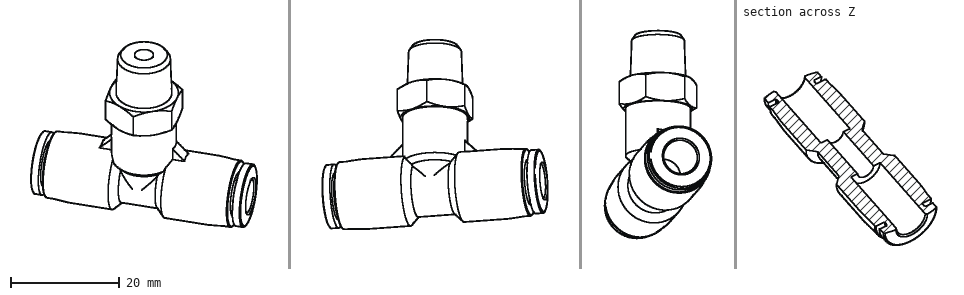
import cadquery as cq
import math


run_length = 41.0
total_height = 34.3

body_diameter = 13.0
body_end_diameter = 12.5
waist_diameter = 9.92
waist_half_length = 3.53
body_end = 17.75
body_end_chamfer = 0.15
end_band_start = 16.3
taper_start = 13.32
taper_mid_bulge = 0.05

collar_diameter = 11.8
collar_back = 18.6
collar_front = 19.95
collar_chamfer_length = 0.15
collar_chamfer_depth = 0.3
collar_dome_bulge = 0.05
neck_diameter = 8.35
neck_root_diameter = 8.6
neck_cone_end = 18.25

tube_bore_diameter = 6.35
tube_bore_mouth_diameter = 6.95
tube_bore_depth = 15.4
flow_bore_diameter = 3.5

stem_diameter = 12.0
stem_foot_height = 5.0

hex_sides = 6
hex_across_flats = 12.7
hex_bottom = 14.02
hex_top = 19.35
hex_chamfer_angle = 30.0

thread_root_diameter = 10.35
thread_end_diameter = 9.8
thread_tip_diameter = 8.6
thread_chamfer_height = 0.9
top_height = total_height - body_diameter / 2

rib_width = 2.65
rib_reach = 8.2
rib_top = 8.7

HALF_RUN = run_length / 2
BODY_R = body_diameter / 2
WAIST_R = waist_diameter / 2


def run_half():
    """Right half of the run, revolved about X."""
    end_r = body_end_diameter / 2
    collar_r = collar_diameter / 2
    mouth_r = tube_bore_mouth_diameter / 2
    dome_x = collar_front + collar_chamfer_length
    dome_r = collar_r - collar_chamfer_depth
    taper_mid = ((taper_start + end_band_start) / 2, (BODY_R + end_r) / 2 + taper_mid_bulge)
    dome_mid = ((dome_x + HALF_RUN) / 2 + collar_dome_bulge, (dome_r + mouth_r) / 2)
    profile = (
        cq.Workplane("XY")
        .lineTo(0, WAIST_R)
        .lineTo(waist_half_length, WAIST_R)
        .lineTo(waist_half_length + BODY_R - WAIST_R, BODY_R)
        .lineTo(taper_start, BODY_R)
        .threePointArc(taper_mid, (end_band_start, end_r))
        .lineTo(body_end - body_end_chamfer, end_r)
        .lineTo(body_end, end_r - body_end_chamfer)
        .lineTo(body_end, neck_diameter / 2)
        .lineTo(neck_cone_end, neck_diameter / 2)
        .lineTo(collar_back, neck_root_diameter / 2)
        .lineTo(collar_back, collar_r)
        .lineTo(collar_front, collar_r)
        .lineTo(dome_x, dome_r)
        .threePointArc(dome_mid, (HALF_RUN, mouth_r))
        .lineTo(HALF_RUN, 0)
        .close()
    )
    return profile.revolve(360, (0, 0, 0), (1, 0, 0))


def stem():
    """Branch stem with a 45 degree shoulder down to the waist diameter."""
    stem_r = stem_diameter / 2
    profile = (
        cq.Workplane("XZ")
        .lineTo(WAIST_R, 0)
        .lineTo(WAIST_R, stem_foot_height - (stem_r - WAIST_R))
        .lineTo(stem_r, stem_foot_height)
        .lineTo(stem_r, hex_bottom)
        .lineTo(0, hex_bottom)
        .close()
    )
    return profile.revolve(360, (0, 0, 0), (0, 1, 0))


def hexagon():
    """Hexagon with flats facing +X and -X, corners chamfered at both ends."""
    flat_r = hex_across_flats / 2
    corner_r = flat_r / math.cos(math.pi / hex_sides)
    drop = (corner_r - flat_r) * math.tan(math.radians(hex_chamfer_angle))
    prism = (
        cq.Workplane("XY", origin=(0, 0, hex_bottom))
        .polygon(hex_sides, 2 * corner_r)
        .extrude(hex_top - hex_bottom)
        .rotate((0, 0, 0), (0, 0, 1), 180 / hex_sides)
    )
    envelope = (
        cq.Workplane("XZ")
        .moveTo(0, hex_bottom)
        .lineTo(flat_r, hex_bottom)
        .lineTo(corner_r, hex_bottom + drop)
        .lineTo(corner_r, hex_top - drop)
        .lineTo(flat_r, hex_top)
        .lineTo(0, hex_top)
        .close()
        .revolve(360, (0, 0, 0), (0, 1, 0))
    )
    return prism.intersect(envelope)


def thread():
    """Tapered thread blank with a chamfered tip."""
    profile = (
        cq.Workplane("XZ")
        .moveTo(0, hex_top)
        .lineTo(thread_root_diameter / 2, hex_top)
        .lineTo(thread_end_diameter / 2, top_height - thread_chamfer_height)
        .lineTo(thread_tip_diameter / 2, top_height)
        .lineTo(0, top_height)
        .close()
    )
    return profile.revolve(360, (0, 0, 0), (0, 1, 0))


def ribs():
    """Pair of 45 degree gussets, one on each side of the stem."""
    slope_sum = rib_reach + math.sqrt(BODY_R**2 - (rib_width / 2) ** 2)
    rib_inner = slope_sum - rib_top
    return (
        cq.Workplane("XZ")
        .moveTo(-rib_inner, rib_top)
        .lineTo(rib_inner, rib_top)
        .lineTo(slope_sum - WAIST_R, WAIST_R)
        .lineTo(WAIST_R - slope_sum, WAIST_R)
        .close()
        .extrude(rib_width / 2, both=True)
    )


def tube_bore():
    """Tube socket at the right end, with a chamfered mouth."""
    bore_r = tube_bore_diameter / 2
    mouth_r = tube_bore_mouth_diameter / 2
    profile = (
        cq.Workplane("XY")
        .moveTo(HALF_RUN - tube_bore_depth, 0)
        .lineTo(HALF_RUN - tube_bore_depth, bore_r)
        .lineTo(HALF_RUN - (mouth_r - bore_r), bore_r)
        .lineTo(HALF_RUN, mouth_r)
        .lineTo(HALF_RUN, 0)
        .close()
    )
    return profile.revolve(360, (0, 0, 0), (1, 0, 0))


def flow_bores():
    """Through bore along the run, joined by the bore of the branch."""
    flow_r = flow_bore_diameter / 2
    along_run = cq.Workplane("YZ").circle(flow_r).extrude(HALF_RUN, both=True)
    along_branch = cq.Workplane("XY").circle(flow_r).extrude(top_height)
    return along_run.union(along_branch)


right_half = run_half()
right_bore = tube_bore()

result = (
    right_half
    .union(right_half.mirror("YZ"))
    .union(stem())
    .union(hexagon())
    .union(thread())
    .union(ribs())
    .cut(right_bore)
    .cut(right_bore.mirror("YZ"))
    .cut(flow_bores())
)